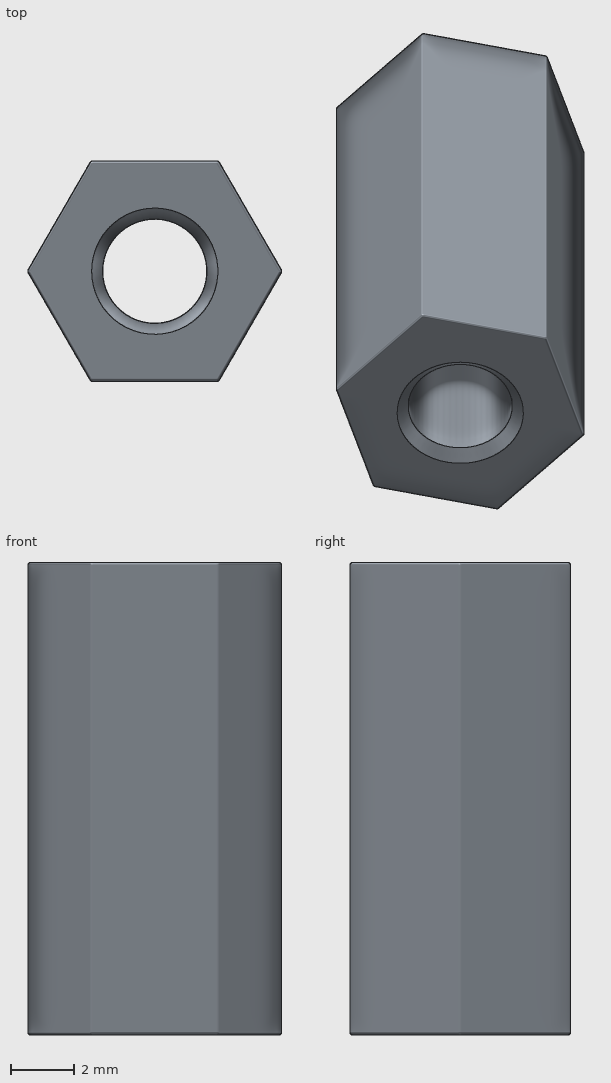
import cadquery as cq
import math

length = 15.0
across_flats = 7.0
edge_radius = 0.1
bore_diameter = 3.3
countersink_diameter = 4.0

across_corners = across_flats / math.cos(math.pi / 6)

spacer = (
    cq.Workplane("XY")
    .polygon(6, across_corners)
    .extrude(length)
    .edges()
    .fillet(edge_radius)
)

spacer = spacer.faces(">Z").workplane(origin=(0, 0, length)).hole(bore_diameter)

countersink_depth = (countersink_diameter - bore_diameter) / 2
for end_face in (">Z", "<Z"):
    spacer = spacer.faces(end_face).edges("%CIRCLE").chamfer(countersink_depth)

result = spacer